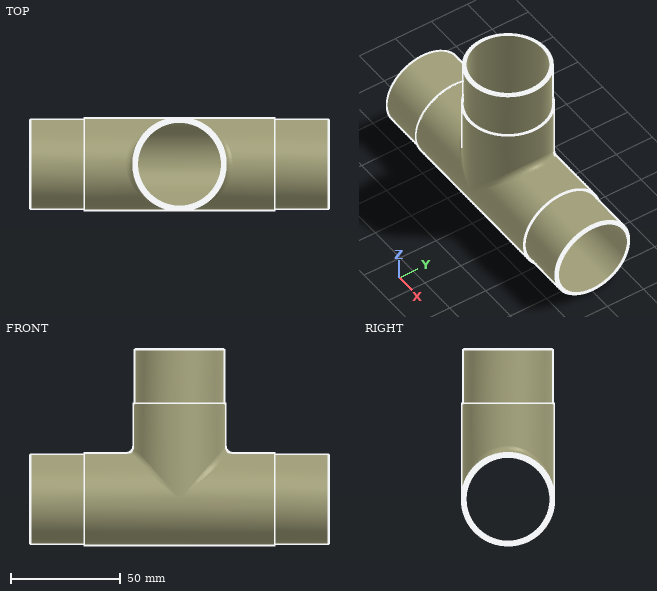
import cadquery as cq

run_length = 137.0
branch_height = 68.8
body_diameter = 42.5
spigot_diameter = 41.2
spigot_length = 25.0
bore_diameter = 38.6
end_chamfer = 0.5
junction_radius = 3.0

body_length = run_length - 2 * spigot_length
branch_body_height = branch_height - spigot_length


def run_cylinder(diameter, length):
    """Cylinder along X, centred on the origin."""
    return cq.Workplane("YZ").circle(diameter / 2).extrude(length / 2, both=True)


def branch_cylinder(diameter, height):
    """Cylinder rising along Z from the run axis."""
    return cq.Workplane("XY").circle(diameter / 2).extrude(height)


def blended_half_body():
    """Half of the full-diameter tee on the +X side, with its crotch rounded.

    The crotch edge of each half ends at the YZ plane, where the two cylinders are tangent.
    """
    half_run = cq.Workplane("YZ").circle(body_diameter / 2).extrude(body_length / 2)
    half_space = cq.Workplane("XY").box(
        run_length, run_length, 2 * branch_height, centered=(False, True, True)
    )
    half_branch = branch_cylinder(body_diameter, branch_body_height).intersect(half_space)
    crotch_box = cq.selectors.BoxSelector(
        (junction_radius, -body_diameter / 2, junction_radius),
        (body_diameter / 2, body_diameter / 2, body_diameter / 2),
    )
    return half_run.union(half_branch).edges(crotch_box).fillet(junction_radius)


def tee_body():
    """Both rounded halves joined at the YZ plane."""
    half = blended_half_body()
    return half.union(half.mirror("YZ"))


run_spigots = run_cylinder(spigot_diameter, run_length).faces("<X or >X").chamfer(end_chamfer)
branch_spigot = branch_cylinder(spigot_diameter, branch_height).faces(">Z").chamfer(end_chamfer)

result = (
    tee_body()
    .union(run_spigots)
    .union(branch_spigot)
    .cut(run_cylinder(bore_diameter, run_length))
    .cut(branch_cylinder(bore_diameter, branch_height))
)